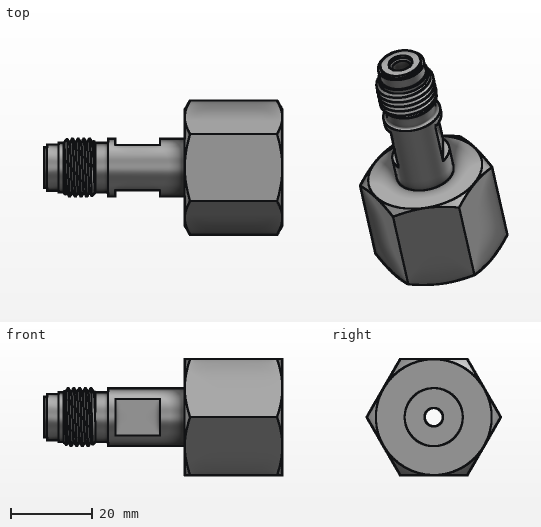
import cadquery as cq
import math


overall_length = 58.55

nut_across_flats = 28.6
nut_length = 24.0
nut_front = overall_length - nut_length
nut_across_corners = nut_across_flats / math.cos(math.radians(30))
nut_face_diameter = 28.45
nut_chamfer_angle = 30.0

tip_diameter = 10.1
tip_end = 0.75
pilot_diameter = 11.5
pilot_end = 3.6
root_diameter = 12.25
body_diameter = 14.3
body_start = 15.75
neck_fillet = 0.4

flats_start = 17.5
flats_length = 10.95
flats_width = 11.1

thread_pitch = 1.4
thread_crest_diameter = body_diameter
thread_start = 4.75
thread_end = 12.6
crest_width = 0.1
root_overlap = 0.03
envelope_clearance = 0.3
thread_angle = 60.0
flank_slope = math.tan(math.radians(thread_angle / 2))
top_crest_position = 5.9

bore_diameter = 4.45
entry_diameter = 5.85
entry_depth = 0.7
entry_cone_length = 0.4


def revolve_about_x(profile):
    """Turn a closed (x, radius) profile around the X axis."""
    return profile.close().revolve(360, (0, 0, 0), (1, 0, 0))


def make_stem_blank():
    """Solid turned stem, running through the nut to the far end."""
    neck_radius = root_diameter / 2
    body_radius = body_diameter / 2
    arc_drop = neck_fillet * math.sqrt(0.5)
    fillet_start = body_start - neck_fillet
    profile = (
        cq.Workplane("XY")
        .moveTo(0, 0)
        .lineTo(0, tip_diameter / 2)
        .lineTo(tip_end, tip_diameter / 2)
        .lineTo(tip_end, pilot_diameter / 2)
        .lineTo(pilot_end, pilot_diameter / 2)
        .lineTo(pilot_end, neck_radius)
        .lineTo(fillet_start, neck_radius)
        .threePointArc(
            (fillet_start + arc_drop, neck_radius + neck_fillet - arc_drop),
            (body_start, neck_radius + neck_fillet),
        )
        .lineTo(body_start, body_radius)
        .lineTo(overall_length, body_radius)
        .lineTo(overall_length, 0)
    )
    return revolve_about_x(profile)


def make_thread():
    """Right-hand helical ridge, trimmed by a 45 degree chamfer at both ends."""
    base_radius = root_diameter / 2 - root_overlap
    crest_radius = thread_crest_diameter / 2
    half_crest = crest_width / 2
    half_base = half_crest + (crest_radius - base_radius) * flank_slope

    lead_turns = math.ceil((top_crest_position - thread_start) / thread_pitch) + 1
    helix_start = top_crest_position - lead_turns * thread_pitch
    turns = math.ceil((thread_end - helix_start) / thread_pitch) + 1
    helix = cq.Wire.makeHelix(thread_pitch, turns * thread_pitch, base_radius)
    ridge = (
        cq.Workplane("XZ")
        .polyline([
            (base_radius, -half_base),
            (crest_radius, -half_crest),
            (crest_radius, half_crest),
            (base_radius, half_base),
        ])
        .close()
        .sweep(cq.Workplane(obj=helix), isFrenet=True)
        .rotate((0, 0, 0), (0, 1, 0), 90)
        .rotate((0, 0, 0), (1, 0, 0), 180)
        .translate((helix_start, 0, 0))
    )
    envelope_radius = crest_radius + envelope_clearance
    chamfer_length = envelope_radius - root_diameter / 2
    envelope = revolve_about_x(
        cq.Workplane("XY")
        .moveTo(thread_start, 0)
        .lineTo(thread_start, root_diameter / 2)
        .lineTo(thread_start + chamfer_length, envelope_radius)
        .lineTo(thread_end - chamfer_length, envelope_radius)
        .lineTo(thread_end, root_diameter / 2)
        .lineTo(thread_end, 0)
    )
    return ridge.intersect(envelope)


def make_bore():
    """Through bore with a wider entry and a cone between the two diameters."""
    return revolve_about_x(
        cq.Workplane("XY")
        .moveTo(0, 0)
        .lineTo(0, entry_diameter / 2)
        .lineTo(entry_depth, entry_diameter / 2)
        .lineTo(entry_depth + entry_cone_length, bore_diameter / 2)
        .lineTo(overall_length, bore_diameter / 2)
        .lineTo(overall_length, 0)
    )


def make_wrench_flat(side):
    """Block removed from the stem on the +Y (side = 1) or -Y (side = -1) side."""
    cut_depth = (body_diameter - flats_width) / 2
    return (
        cq.Workplane("XY")
        .box(flats_length, cut_depth, body_diameter, centered=(False, True, True))
        .translate((flats_start, side * (flats_width + cut_depth) / 2, 0))
    )


def make_stem():
    stem = make_stem_blank().union(make_thread())
    for side in (1, -1):
        stem = stem.cut(make_wrench_flat(side))
    return stem.cut(make_bore())


def make_nut():
    """Hexagonal nut with chamfered corners and a hole that fits the stem."""
    hexagon = (
        cq.Workplane("YZ", origin=(nut_front, 0, 0))
        .polygon(6, nut_across_corners)
        .extrude(nut_length)
    )
    face_radius = nut_face_diameter / 2
    corner_radius = nut_across_corners / 2
    chamfer_length = (corner_radius - face_radius) * math.tan(math.radians(nut_chamfer_angle))
    chamfer_envelope = revolve_about_x(
        cq.Workplane("XY")
        .moveTo(nut_front, 0)
        .lineTo(nut_front, face_radius)
        .lineTo(nut_front + chamfer_length, corner_radius)
        .lineTo(overall_length - chamfer_length, corner_radius)
        .lineTo(overall_length, face_radius)
        .lineTo(overall_length, 0)
    )
    stem_hole = (
        cq.Workplane("YZ", origin=(nut_front, 0, 0))
        .circle(body_diameter / 2)
        .extrude(nut_length)
    )
    return hexagon.intersect(chamfer_envelope).cut(stem_hole)


stem = make_stem()
nut = make_nut()

result = cq.Compound.makeCompound([stem.solids().val(), nut.solids().val()])